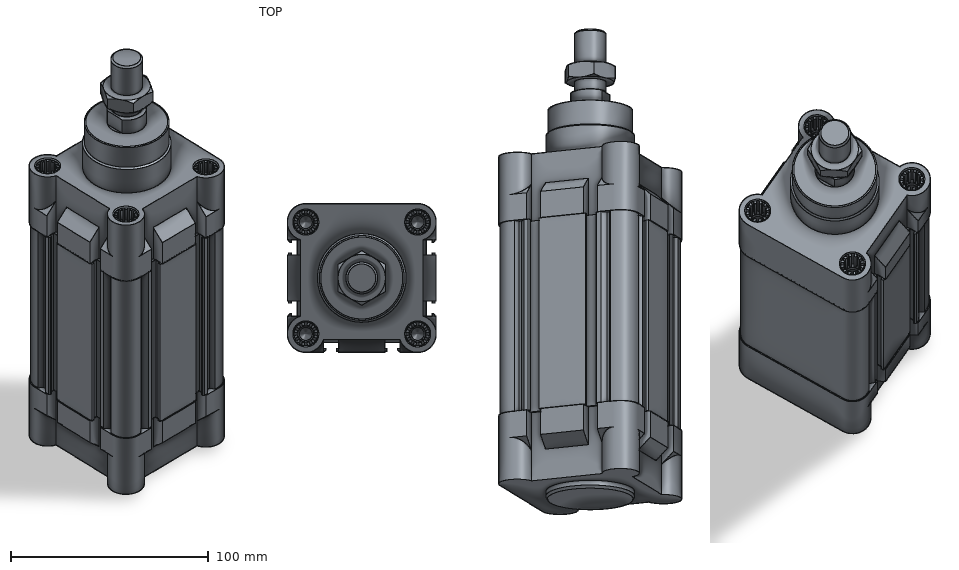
import cadquery as cq
import math

REAR_COLLAR_HEIGHT = 4.0
CAP_HEIGHT = 35.6
BARREL_LENGTH = 99.8
FRONT_COLLAR_HEIGHT = 15.5
COLLAR_TIP_HEIGHT = 12.7
ROD_SHOULDER_HEIGHT = 8.5
TOTAL_HEIGHT = 244.0

REAR_CAP_BOTTOM = REAR_COLLAR_HEIGHT
BARREL_BOTTOM = REAR_CAP_BOTTOM + CAP_HEIGHT
BARREL_TOP = BARREL_BOTTOM + BARREL_LENGTH
FRONT_CAP_TOP = BARREL_TOP + CAP_HEIGHT
COLLAR_STEP = FRONT_CAP_TOP + FRONT_COLLAR_HEIGHT
COLLAR_TOP = COLLAR_STEP + COLLAR_TIP_HEIGHT
SHOULDER_TOP = COLLAR_TOP + ROD_SHOULDER_HEIGHT

CAP_WIDTH = 75.5
BOSS_SPACING = 56.5
SIDE_RECESS = 6.5
PAD_WIDTH = 23.5
LUG_HEIGHT = 13.7
LUG_SLOPE_HEIGHT = 6.0
HALF_CAP = CAP_WIDTH / 2
HALF_SPACING = BOSS_SPACING / 2
BOSS_RADIUS = HALF_CAP - HALF_SPACING
CAP_FACE = HALF_CAP - SIDE_RECESS
BOSS_INNER_EDGE = HALF_SPACING - math.sqrt(BOSS_RADIUS**2 - (HALF_SPACING - CAP_FACE) ** 2)

COLLAR_DIAMETER = 45.0
COLLAR_TIP_DIAMETER = 43.0
COLLAR_CHAMFER = 0.7
TIP_CHAMFER_HEIGHT = 0.2
REAR_CHAMFER_HEIGHT = 1.5

SOCKET_MOUTH_DIAMETER = 13.2
SOCKET_OUTER_DIAMETER = 12.0
SOCKET_INNER_DIAMETER = 8.8
SOCKET_POINTS = 12
SOCKET_TOOTH_FLAT_ANGLE = 16.0
SOCKET_DEPTH = 12.2
THREAD_MOUTH_DIAMETER = 8.0
THREAD_DIAMETER = 6.5
THREAD_DEPTH = 14.6
DRILL_POINT_ANGLE = 118.0

BARREL_WIDTH = 74.2
SLOT_NECK_START = 12.7
SLOT_NECK_END = 18.0
SLOT_LIP_CHAMFER = 0.7
SLOT_START = 11.5
SLOT_END = 19.5
SLOT_LIP = 1.5
SLOT_DEPTH = 4.5
GROOVE_START = 21.0
GROOVE_FLOOR_START = 23.5
GROOVE_FLOOR_END = 24.6
GROOVE_END = 26.4
GROOVE_DEPTH = 2.5
HALF_BARREL = BARREL_WIDTH / 2

ROD_DIAMETER = 20.0
ROD_FLATS = 17.0
THREADED_END_DIAMETER = 16.0
ROD_CHAMFER = 1.0
ROD_NECK_CHAMFER = 0.7
NUT_WIDTH = 24.0
NUT_HEIGHT = 8.0
NUT_BOTTOM = 218.0
NUT_CHAMFER_ANGLE = 30.0
NUT_FACE_DIAMETER = 24.0

SLOTTED_SIDE_ANGLES = (-90, 0, 90)
CORNERS = [(x * HALF_SPACING, y * HALF_SPACING) for x in (-1, 1) for y in (-1, 1)]


def cylinder(diameter, bottom, top):
    return cq.Workplane("XY", origin=(0, 0, bottom)).circle(diameter / 2).extrude(top - bottom)


def lug(start, end):
    """A raised block on the -Y face of an upright cap, sloped at the top."""
    outline = [
        (-HALF_CAP, 0),
        (-HALF_CAP, LUG_HEIGHT),
        (-CAP_FACE, LUG_HEIGHT + LUG_SLOPE_HEIGHT),
        (0, LUG_HEIGHT + LUG_SLOPE_HEIGHT),
        (0, 0),
    ]
    return cq.Workplane("YZ", origin=(start, 0, 0)).polyline(outline).close().extrude(end - start)


def make_cap():
    """An end cap standing on its barrel side, plain on +Y and recessed on the other three sides."""
    base = cq.Workplane("XY")
    core_length = CAP_FACE + HALF_SPACING
    core = base.box(2 * CAP_FACE, core_length, CAP_HEIGHT, centered=(True, False, False))
    plain_side = base.box(BOSS_SPACING, HALF_CAP, CAP_HEIGHT, centered=(True, False, False))
    cap = core.translate((0, -CAP_FACE, 0)).union(plain_side)
    cap = cap.union(base.pushPoints(CORNERS).circle(BOSS_RADIUS).extrude(CAP_HEIGHT))
    lugs = (
        lug(-HALF_SPACING, -BOSS_INNER_EDGE)
        .union(lug(-PAD_WIDTH / 2, PAD_WIDTH / 2))
        .union(lug(BOSS_INNER_EDGE, HALF_SPACING))
    )
    for angle in SLOTTED_SIDE_ANGLES:
        cap = cap.union(lugs.rotate((0, 0, 0), (0, 0, 1), angle))
    return cap


def side_cuts():
    """Undercut slots and open grooves on the -Y side of the barrel."""
    slot = [
        (SLOT_NECK_START, -HALF_BARREL),
        (SLOT_NECK_START, SLOT_LIP - HALF_BARREL),
        (SLOT_START, SLOT_LIP - HALF_BARREL),
        (SLOT_START, SLOT_DEPTH - HALF_BARREL),
        (SLOT_END, SLOT_DEPTH - HALF_BARREL),
        (SLOT_END, SLOT_LIP - HALF_BARREL),
        (SLOT_NECK_END, SLOT_LIP - HALF_BARREL),
        (SLOT_NECK_END, SLOT_LIP_CHAMFER - HALF_BARREL),
        (SLOT_NECK_END + SLOT_LIP_CHAMFER, -HALF_BARREL),
    ]
    groove = [
        (GROOVE_START, -HALF_BARREL),
        (GROOVE_FLOOR_START, GROOVE_DEPTH - HALF_BARREL),
        (GROOVE_FLOOR_END, GROOVE_DEPTH - HALF_BARREL),
        (GROOVE_END, -HALF_BARREL),
    ]
    base = cq.Workplane("XY", origin=(0, 0, BARREL_BOTTOM))
    cuts = base.polyline(slot).close().extrude(BARREL_LENGTH)
    cuts = cuts.union(base.polyline(groove).close().extrude(BARREL_LENGTH))
    return cuts.union(cuts.mirror("YZ"))


def make_barrel():
    barrel = (
        cq.Workplane("XY", origin=(0, 0, BARREL_BOTTOM))
        .rect(BARREL_WIDTH, BARREL_WIDTH)
        .extrude(BARREL_LENGTH)
        .edges("|Z")
        .fillet(HALF_BARREL - HALF_SPACING)
    )
    cuts = side_cuts()
    for angle in SLOTTED_SIDE_ANGLES:
        barrel = barrel.cut(cuts.rotate((0, 0, 0), (0, 0, 1), angle))
    return barrel


def screw_socket():
    """A multi-point socket with a chamfered mouth and a drilled hole below, opening at z = 0."""
    mouth_depth = (SOCKET_MOUTH_DIAMETER - SOCKET_OUTER_DIAMETER) / 2
    thread_chamfer = (THREAD_MOUTH_DIAMETER - THREAD_DIAMETER) / 2
    tip_depth = THREAD_DIAMETER / 2 / math.tan(math.radians(DRILL_POINT_ANGLE / 2))
    drill_end = -SOCKET_DEPTH - THREAD_DEPTH
    bore = (
        cq.Workplane("XZ")
        .polyline([
            (0, 0),
            (SOCKET_MOUTH_DIAMETER / 2, 0),
            (SOCKET_OUTER_DIAMETER / 2, -mouth_depth),
            (SOCKET_INNER_DIAMETER / 2, -mouth_depth),
            (SOCKET_INNER_DIAMETER / 2, -SOCKET_DEPTH),
            (THREAD_MOUTH_DIAMETER / 2, -SOCKET_DEPTH),
            (THREAD_DIAMETER / 2, -SOCKET_DEPTH - thread_chamfer),
            (THREAD_DIAMETER / 2, drill_end),
            (0, drill_end - tip_depth),
        ])
        .close()
        .revolve(360, (0, 0), (0, 1))
    )
    half_flat = math.radians(SOCKET_TOOTH_FLAT_ANGLE / 2)
    half_pitch = math.pi / SOCKET_POINTS
    outer = SOCKET_OUTER_DIAMETER / 2
    inner = SOCKET_INNER_DIAMETER / 2
    star = []
    for i in range(SOCKET_POINTS):
        groove = 2 * i * half_pitch
        tooth = groove + half_pitch
        for radius, angle in (
            (outer, groove - half_flat),
            (outer, groove + half_flat),
            (inner, tooth - half_flat),
            (inner, tooth + half_flat),
        ):
            star.append((radius * math.cos(angle), radius * math.sin(angle)))
    return bore.union(cq.Workplane("XY").polyline(star).close().extrude(-SOCKET_DEPTH))


def make_housing():
    front_cap = make_cap().translate((0, 0, BARREL_TOP))
    rear_cap = make_cap().mirror("XY").translate((0, 0, BARREL_BOTTOM))
    front_collar = (
        cylinder(COLLAR_DIAMETER, FRONT_CAP_TOP, COLLAR_STEP)
        .faces(">Z")
        .chamfer(COLLAR_CHAMFER, (COLLAR_DIAMETER - COLLAR_TIP_DIAMETER) / 2)
    )
    collar_tip = (
        cylinder(COLLAR_TIP_DIAMETER, COLLAR_STEP, COLLAR_TOP)
        .faces(">Z")
        .chamfer(TIP_CHAMFER_HEIGHT, COLLAR_CHAMFER)
    )
    rear_collar = (
        cylinder(COLLAR_DIAMETER, 0, REAR_COLLAR_HEIGHT)
        .faces("<Z")
        .chamfer(REAR_CHAMFER_HEIGHT, COLLAR_CHAMFER)
    )
    housing = make_barrel()
    for piece in (front_cap, rear_cap, front_collar, collar_tip, rear_collar):
        housing = housing.union(piece)
    for x, y in CORNERS:
        housing = housing.cut(screw_socket().translate((x, y, FRONT_CAP_TOP)))
    return housing.cut(cylinder(ROD_DIAMETER, FRONT_CAP_TOP, COLLAR_TOP))


def make_rod():
    """A round rod with two wrench flats above the collar and a slimmer threaded end."""
    shoulder = cylinder(ROD_DIAMETER, COLLAR_TOP, SHOULDER_TOP)
    flats = cq.Workplane("XY").box(ROD_DIAMETER, ROD_FLATS, 2 * TOTAL_HEIGHT)
    threaded_end = (
        cylinder(THREADED_END_DIAMETER, SHOULDER_TOP, TOTAL_HEIGHT)
        .faces(">Z")
        .chamfer(ROD_CHAMFER)
        .faces("<Z")
        .chamfer(ROD_NECK_CHAMFER)
    )
    guided = cylinder(ROD_DIAMETER, FRONT_CAP_TOP, COLLAR_TOP)
    return guided.union(shoulder.intersect(flats)).union(threaded_end)


def make_nut():
    """A hexagon nut with corners toward +Y and -Y, chamfered on both faces."""
    corner_radius = NUT_WIDTH / math.sqrt(3)
    face_radius = NUT_FACE_DIAMETER / 2
    chamfer_height = (corner_radius - face_radius) * math.tan(math.radians(NUT_CHAMFER_ANGLE))
    envelope = (
        cq.Workplane("XZ")
        .polyline([
            (0, 0),
            (face_radius, 0),
            (corner_radius, chamfer_height),
            (corner_radius, NUT_HEIGHT - chamfer_height),
            (face_radius, NUT_HEIGHT),
            (0, NUT_HEIGHT),
        ])
        .close()
        .revolve(360, (0, 0), (0, 1))
    )
    hexagon = cq.Workplane("XY").polygon(6, 2 * corner_radius).extrude(NUT_HEIGHT)
    nut = hexagon.rotate((0, 0, 0), (0, 0, 1), 90).intersect(envelope).translate((0, 0, NUT_BOTTOM))
    return nut.cut(cylinder(THREADED_END_DIAMETER, NUT_BOTTOM, NUT_BOTTOM + NUT_HEIGHT))


housing = make_housing()
rod = make_rod()
nut = make_nut()
result = cq.Compound.makeCompound([housing.val(), rod.val(), nut.val()])